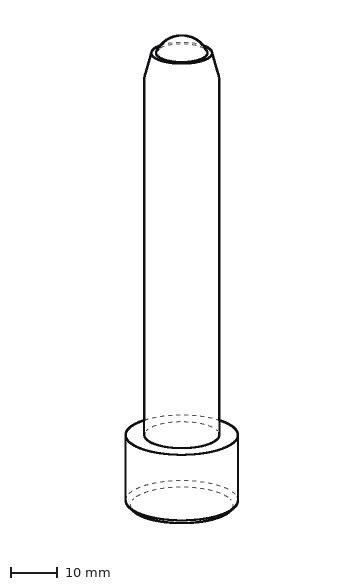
import cadquery as cq
import math

total_height = 106.7
head_diameter = 24.0
head_height = 16.0
head_chamfer = 1.1
shank_diameter = 16.0
lead_in_bottom = 97.4
lead_in_top = 103.0
lead_in_angle = math.radians(15)
ball_radius = 6.0

head_radius = head_diameter / 2
shank_radius = shank_diameter / 2
lead_in_radius = shank_radius - (lead_in_top - lead_in_bottom) * math.tan(lead_in_angle)

ball_center = total_height - ball_radius
rim_elevation = math.asin((lead_in_top - ball_center) / ball_radius)


def ball_point(elevation):
    """Point on the ball's half section at an elevation above its centre."""
    return (ball_radius * math.cos(elevation), ball_center + ball_radius * math.sin(elevation))


ball_rim = ball_point(rim_elevation)
arc_middle = ball_point((rim_elevation + math.pi / 2) / 2)

half_section = (
    cq.Workplane("XZ")
    .lineTo(head_radius - head_chamfer, 0)
    .lineTo(head_radius, head_chamfer)
    .lineTo(head_radius, head_height)
    .lineTo(shank_radius, head_height)
    .lineTo(shank_radius, lead_in_bottom)
    .lineTo(lead_in_radius, lead_in_top)
    .lineTo(*ball_rim)
    .threePointArc(arc_middle, (0, total_height))
    .close()
)

result = half_section.revolve(360, (0, 0, 0), (0, 1, 0))